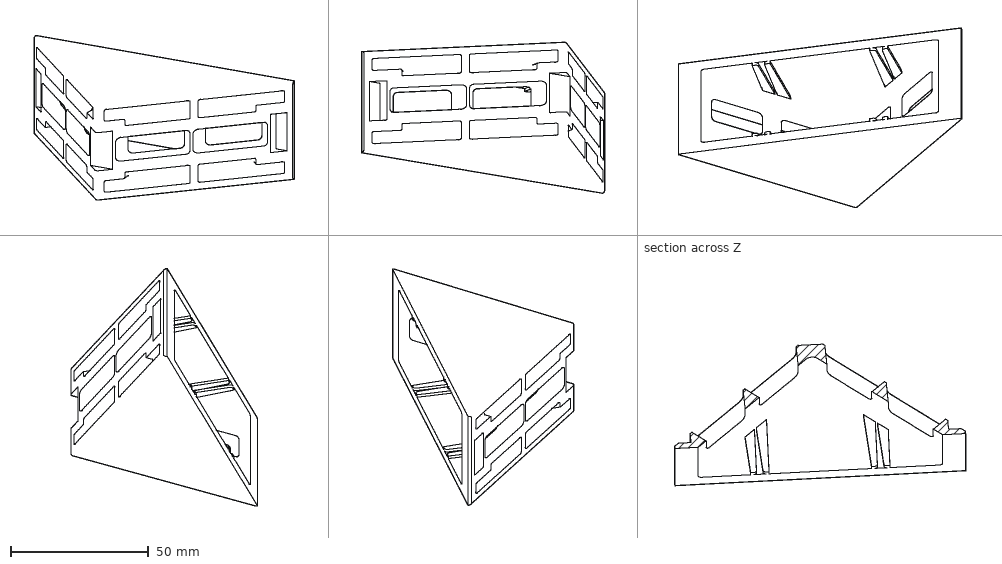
import cadquery as cq
import math

leg = 76.0
height = 38.0
edge_radius = 1.0
tip = 1.0
half_height = height / 2

leg_thickness = 7.0
cavity_half_height = 15.35
cavity_corner_radius = 3.05
cavity_edge_radius = 0.8

rib_thickness = 2.1
rib_gap = 2.4
rib_draft = 2.2
rib_height = 1.1
rib_mouth_radius = 1.0
rib_pair_offset = 22.05

slot_starts = (10.6, 40.05)
slot_length = 21.4
slot_width = 9.1
slot_corner_radius = 1.5

pocket_depth = 3.0
pocket_radius = 0.5
first_pocket_start = 4.0
first_pocket_length = 33.0
second_pocket_start = 40.05
second_pocket_length = 32.75
pocket_top = 15.95
pocket_step_z = 11.5
pocket_bottom = 9.0
first_step_inset = 11.0
second_step_inset = 7.8

notch_width = 14.75
vee_start = 3.1
vee_depth = 3.2
vee_end_radius = 0.3
corner_notch = 6.4


def prism(points, z_low, z_high):
    """Upright prism over an XY outline."""
    return cq.Workplane("XY").workplane(offset=z_low).polyline(points).close().extrude(z_high - z_low)


def on_both_legs(tool):
    """A tool made for the leg along X, joined with its mirror image on the leg along Y."""
    twin = tool.mirror("YZ").rotate((0, 0, 0), (0, 0, 1), 90)
    return tool.union(twin.translate((leg, leg, 0)))


def on_both_halves(tool):
    """A tool made for z > 0, joined with its mirror image below."""
    return tool.union(tool.mirror("XY"))


def wedge():
    """Solid body: a block with rounded leg edges, cut to the sloping face and blunt points."""
    block = cq.Workplane("XY").box(leg, leg, height).translate((leg / 2, leg / 2, 0))
    block = block.edges("(<Y or >X) and (not <X) and (not >Y)").fillet(edge_radius)
    outline = [(tip, 0), (leg, 0), (leg, leg - tip), (leg - tip, leg), (0, tip)]
    return block.intersect(prism(outline, -half_height, half_height))


def cavity():
    """Triangular hollow with rounded inner edges, reaching past the sloping face."""
    inner_x = leg - leg_thickness
    outline = [
        (-leg_thickness, leg_thickness),
        (inner_x, leg_thickness),
        (inner_x, leg + leg_thickness),
    ]
    hollow = prism(outline, -cavity_half_height, cavity_half_height)
    hollow = hollow.edges("|Z and >X and <Y").fillet(cavity_corner_radius)
    return hollow.faces("|Z").edges("<Y or >X").fillet(cavity_edge_radius)


def rib_pair():
    """Two ribs under the upper web, rounded where the gap between them meets the sloping face."""
    depth = leg / 2
    growth = depth * math.tan(math.radians(rib_draft))
    near = rib_gap / 2
    far = near + rib_thickness
    outline = [(near, 0), (far, 0), (far + growth, -depth), (near - growth, -depth)]
    rib = prism(outline, cavity_half_height - rib_height, half_height)
    rib = rib.faces(">Y").edges("<X").fillet(rib_mouth_radius)
    return rib.union(rib.mirror("YZ"))


def ribs():
    """All rib pairs, placed along the sloping face."""
    pair = rib_pair()
    pairs = pair.translate((-rib_pair_offset, 0, 0)).union(pair.translate((rib_pair_offset, 0, 0)))
    middle = ((leg - tip) / 2, (leg + tip) / 2, 0)
    return on_both_halves(pairs.rotate((0, 0, 0), (0, 0, 1), 45).translate(middle))


def slots():
    """Screw slots; one end runs square to the sloping face, the other square to the leg."""
    tool = cq.Workplane("XY")
    for start in slot_starts:
        inner_end = start + slot_length
        outline = [
            (start, 0),
            (inner_end + leg_thickness, 0),
            (inner_end, leg_thickness),
            (start, leg_thickness),
        ]
        slot = prism(outline, -slot_width / 2, slot_width / 2)
        slot_corners = slot.edges("#Z and (not |X)")
        tool = tool.union(slot_corners.fillet(slot_corner_radius))
    return on_both_legs(tool)


def pocket_band(start, end, z_low, z_high, start_slope):
    """Part of a pocket between two heights; the far end slopes at 45 degrees."""
    outline = [
        (start, 0),
        (end, 0),
        (end - pocket_depth, pocket_depth),
        (start + start_slope, pocket_depth),
    ]
    return prism(outline, z_low, z_high)


def rounded_pocket(pocket, step_edge_middle):
    """Round all edges below the outer face, then the outward corner of the step."""
    x, y, z = step_edge_middle
    reach = pocket_radius
    at_step = cq.selectors.BoxSelector(
        (x - reach, y - reach, z - reach),
        (x + reach, y + reach, z + reach),
    )
    below_face = cq.StringSyntaxSelector("not <Y")
    pocket = pocket.edges(below_face - at_step).fillet(pocket_radius)
    return pocket.edges(at_step).fillet(pocket_radius)


def first_pocket():
    """Pocket near the pointed end, stepped by a square shoulder at its start."""
    end = first_pocket_start + first_pocket_length
    step_x = first_pocket_start + first_step_inset
    outer_band = pocket_band(first_pocket_start, end, pocket_step_z, pocket_top, pocket_depth)
    inner_band = pocket_band(step_x, end, pocket_bottom, pocket_step_z, 0)
    step_edge_middle = (step_x, pocket_depth / 2, pocket_step_z)
    return rounded_pocket(outer_band.union(inner_band), step_edge_middle)


def second_pocket():
    """Pocket near the square corner, stepped by a 45 degree shoulder at its end."""
    end = second_pocket_start + second_pocket_length
    step_x = end - second_step_inset
    outer_band = pocket_band(second_pocket_start, end, pocket_step_z, pocket_top, pocket_depth)
    inner_band = pocket_band(second_pocket_start, step_x, pocket_bottom, pocket_step_z, pocket_depth)
    step_edge_middle = (step_x - pocket_depth / 2, pocket_depth / 2, pocket_step_z)
    return rounded_pocket(outer_band.union(inner_band), step_edge_middle)


def pockets():
    """Both stepped pockets, above and below the middle of each leg."""
    return on_both_legs(on_both_halves(first_pocket().union(second_pocket())))


def notches():
    """V groove near each pointed end and a flat across the square corner."""
    half_width = notch_width / 2
    vee_outline = [
        (vee_start, 0),
        (vee_start + 2 * vee_depth, 0),
        (vee_start + vee_depth, vee_depth),
    ]
    vee = prism(vee_outline, -half_width, half_width)
    vee = vee.faces(">X").edges("#Z").edges("<Z or >Z").fillet(vee_end_radius)
    corner_outline = [(leg - corner_notch, 0), (leg, 0), (leg, corner_notch)]
    corner = prism(corner_outline, -half_width, half_width)
    return on_both_legs(vee).union(corner)


result = wedge().cut(cavity().cut(ribs())).cut(slots()).cut(pockets()).cut(notches())